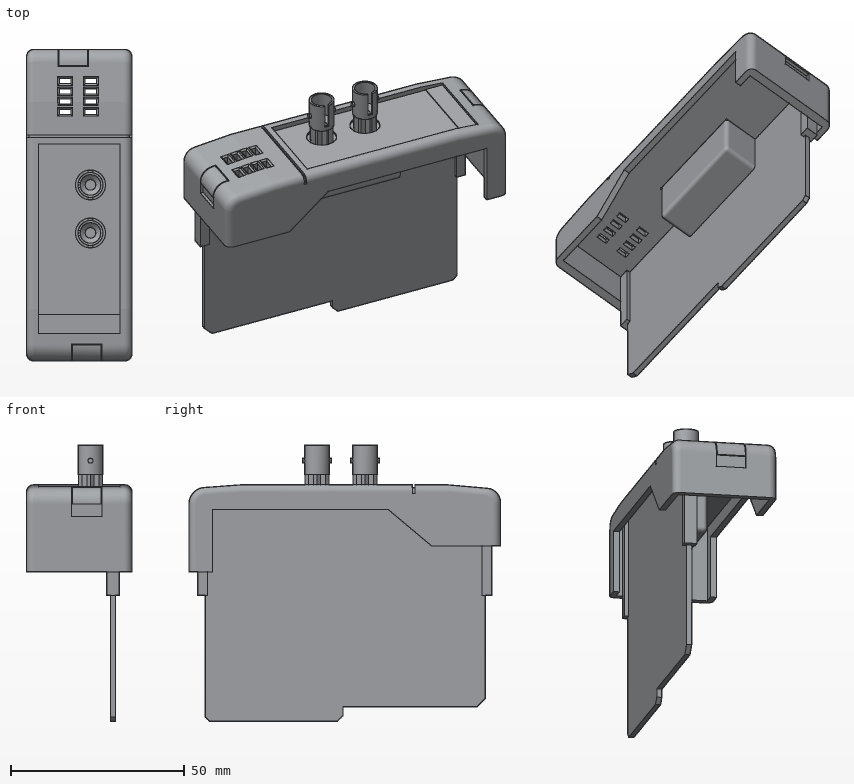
import cadquery as cq
import math

CASE_WIDTH = 30.5
CASE_LENGTH = 90.0
TOTAL_HEIGHT = 79.7
CUT_MARGIN = 4.5

CASE_TOP_Z = 68.3
CASE_BOTTOM_Z = 43.1
REAR_SLOPE = 5.0
FRONT_SLOPE = 4.2
REAR_FOLD_Y = 29.7
FRONT_FOLD_Y = -30.0
REAR_CORNER_RADIUS = 4.1
FRONT_CORNER_RADIUS = 4.8
SIDE_EDGE_RADIUS = 2.2

REAR_BOTTOM_Z = 50.7
WINDOW_TOP_Z = 61.1
WINDOW_FRONT_Y = -38.2
RAMP_TOP_Y = 12.6
RAMP_BOTTOM_Y = 25.0

SIDE_WALL = 1.8
CASE_INNER_LENGTH = 85.0
CEILING_Z = 65.1

POCKET_WIDTH = 23.6
POCKET_REAR_Y = 17.7
POCKET_FRONT_Y = -37.0
POCKET_FLOOR_Z = 66.9
POCKET_FLOOR_THICKNESS = 0.5
POCKET_STEP_Y = -31.6
POCKET_STEP_HEIGHT = 0.2

GROOVE_REAR_Y = 20.25
GROOVE_WIDTH = 0.7
GROOVE_DEPTH = 0.8
GROOVE_BOTTOM_Z = 65.8

LATCH_WIDTH = 8.8
LATCH_DEPTH = 0.9
LATCH_GAP = 0.3
LATCH_TAB_BOTTOM_Z = 62.7
LATCH_REACH = 4.95
LATCH_BOTTOM_Z = 59.1
REAR_LATCH_X = -1.7
FRONT_LATCH_X = 2.2

INDICATOR_COLUMNS = 2
INDICATOR_ROWS = 4
INDICATOR_X_PITCH = 7.4
INDICATOR_Y_PITCH = 3.0
INDICATOR_CENTER_X = -0.4
INDICATOR_CENTER_Y = 31.4
INDICATOR_WIDTH = 3.2
INDICATOR_LENGTH = 1.4
INDICATOR_MARGIN = 0.5
INDICATOR_FLARE_DEPTH = 0.45

CONNECTOR_X = 3.2
CONNECTOR_PITCH = 13.9
CONNECTOR_MIDDLE_Y = -1.1
BARREL_RADIUS = 3.6
BARREL_BOTTOM_Z = 71.2
BORE_RADIUS = 3.0
BORE_DEPTH = 7.2
BORE_FLOOR_RADIUS = 1.5
KEYWAY_WIDTH = 1.35
LUG_DIAMETER = 1.4
LUG_TIP_RADIUS = 4.1
LUG_DROP = 4.5
STAR_RADIUS = 3.5
STAR_SQUARES = 2
STEM_HOLE_RADIUS = 4.3

BOARD_REAR_Y = 40.6
BOARD_FRONT_Y = -40.3
BOARD_LEFT_X = 9.0
BOARD_THICKNESS = 1.5
NOTCH_Y = -0.45
NOTCH_HEIGHT = 4.1
REAR_CHAMFER = 2.4
NOTCH_CHAMFER = 1.7
FRONT_CHAMFER = 1.3
RAIL_LEFT_X = 7.9
RAIL_WIDTH = 3.7
RAIL_LENGTH = 2.9
RAIL_BOTTOM_Z = 36.4
BLOCK_REAR_Y = 12.7
BLOCK_FRONT_Y = -17.5
BLOCK_BOTTOM_Z = 48.4
BLOCK_LEFT_X = -1.7
BLOCK_EDGE_RADIUS = 1.2

CONNECTOR_YS = [CONNECTOR_MIDDLE_Y + side * CONNECTOR_PITCH / 2 for side in (1, -1)]


def box(x_min, x_max, y_min, y_max, z_min, z_max):
    """Box given by its limits along each axis."""
    size = (x_max - x_min, y_max - y_min, z_max - z_min)
    return cq.Workplane("XY").box(*size, centered=False).translate((x_min, y_min, z_min))


def cylinder(x, y, radius, z_min, z_max):
    """Upright cylinder."""
    return cq.Workplane("XY", origin=(x, y, z_min)).circle(radius).extrude(z_max - z_min)


def side_prism(outline, x_min, x_max):
    """Prism along X over an outline of (y, z) points."""
    return cq.Workplane("YZ", origin=(x_min, 0, 0)).polyline(outline).close().extrude(x_max - x_min)


def rounded_block(inset):
    """Solid case blank with rounded edges, every face moved inward by the inset."""
    half_length = CASE_LENGTH / 2
    half_width = CASE_WIDTH / 2 - inset
    rear_fall = math.tan(math.radians(REAR_SLOPE)) * (half_length - REAR_FOLD_Y)
    front_fall = math.tan(math.radians(FRONT_SLOPE)) * (half_length + FRONT_FOLD_Y)
    outline = [
        (half_length, CASE_BOTTOM_Z),
        (half_length, CASE_TOP_Z - rear_fall),
        (REAR_FOLD_Y, CASE_TOP_Z),
        (FRONT_FOLD_Y, CASE_TOP_Z),
        (-half_length, CASE_TOP_Z - front_fall),
        (-half_length, CASE_BOTTOM_Z),
    ]
    profile = cq.Workplane("YZ", origin=(-half_width, 0, 0)).polyline(outline).close()
    if inset > 0:
        profile = profile.offset2D(-inset, "intersection")
    block = profile.extrude(2 * half_width)
    block = block.faces(">Y").edges(">Z").fillet(REAR_CORNER_RADIUS - inset)
    block = block.faces("<Y").edges(">Z").fillet(FRONT_CORNER_RADIUS - inset)
    return block.faces("|X").edges("not(<Z)").fillet(SIDE_EDGE_RADIUS - inset)


def lower_cutaway():
    """Space removed below the rear end and between the ends of the side walls."""
    half_width = CASE_WIDTH / 2
    outer_y = CASE_LENGTH / 2 + CUT_MARGIN
    low_z = CASE_BOTTOM_Z - CUT_MARGIN
    outline = [
        (outer_y, low_z),
        (outer_y, REAR_BOTTOM_Z),
        (RAMP_BOTTOM_Y, REAR_BOTTOM_Z),
        (RAMP_TOP_Y, WINDOW_TOP_Z),
        (WINDOW_FRONT_Y, WINDOW_TOP_Z),
        (WINDOW_FRONT_Y, low_z),
    ]
    return side_prism(outline, -half_width, half_width)


def inner_cavity():
    """Open space inside the case."""
    half_width = CASE_WIDTH / 2 - SIDE_WALL
    half_length = CASE_INNER_LENGTH / 2
    return box(-half_width, half_width, -half_length, half_length, CASE_BOTTOM_Z, CEILING_Z)


def block_clearance():
    """Space above the connector block that leaves only a thin pocket floor around the stems."""
    top_z = POCKET_FLOOR_Z - POCKET_FLOOR_THICKNESS
    return box(BLOCK_LEFT_X, BOARD_LEFT_X, BLOCK_FRONT_Y, BLOCK_REAR_Y, CEILING_Z, top_z)


def label_pocket():
    """Pocket in the top, slightly shallower at its front end."""
    top_z = CASE_TOP_Z + CUT_MARGIN
    outline = [
        (POCKET_REAR_Y, top_z),
        (POCKET_REAR_Y, POCKET_FLOOR_Z),
        (POCKET_STEP_Y, POCKET_FLOOR_Z),
        (POCKET_STEP_Y, POCKET_FLOOR_Z + POCKET_STEP_HEIGHT),
        (POCKET_FRONT_Y, POCKET_FLOOR_Z + POCKET_STEP_HEIGHT),
        (POCKET_FRONT_Y, top_z),
    ]
    return side_prism(outline, -POCKET_WIDTH / 2, POCKET_WIDTH / 2)


def seam_groove():
    """Narrow groove of even depth that follows the top and both shoulders."""
    half_width = CASE_WIDTH / 2
    front_y = GROOVE_REAR_Y - GROOVE_WIDTH
    slab = box(-half_width, half_width, front_y, GROOVE_REAR_Y, GROOVE_BOTTOM_Z, CASE_TOP_Z)
    return slab.cut(rounded_block(GROOVE_DEPTH))


def end_patch(end, center_x, width, reach, bottom_z):
    """Box over one end corner of the case; end is 1 for rear, -1 for front."""
    end_y = CASE_LENGTH / 2
    y_min, y_max = sorted((end * (end_y - reach), end * end_y))
    return box(center_x - width / 2, center_x + width / 2, y_min, y_max, bottom_z, CASE_TOP_Z)


def latch_recess(end, center_x):
    """Gap around a latch tab and the notch below it, both of one depth below the surface."""
    recess = end_patch(end, center_x, LATCH_WIDTH, LATCH_REACH, LATCH_BOTTOM_Z)
    tab_width = LATCH_WIDTH - 2 * LATCH_GAP
    tab = end_patch(end, center_x, tab_width, LATCH_REACH - LATCH_GAP, LATCH_TAB_BOTTOM_Z)
    return recess.cut(rounded_block(LATCH_DEPTH)).cut(tab)


def indicator_window(x, y):
    """Rectangular window through the top, flared towards the outer surface."""
    slope_drop = max(0, y - REAR_FOLD_Y) * math.tan(math.radians(REAR_SLOPE))
    plane = cq.Plane(origin=(x, y, CASE_TOP_Z - slope_drop))
    if y > REAR_FOLD_Y:
        plane = plane.rotated((-REAR_SLOPE, 0, 0))
    mouth = (
        cq.Workplane(plane)
        .rect(INDICATOR_WIDTH + 2 * INDICATOR_MARGIN, INDICATOR_LENGTH + 2 * INDICATOR_MARGIN)
        .workplane(offset=-INDICATOR_FLARE_DEPTH)
        .rect(INDICATOR_WIDTH, INDICATOR_LENGTH)
        .loft(ruled=True)
    )
    x_min = x - INDICATOR_WIDTH / 2
    y_min = y - INDICATOR_LENGTH / 2
    x_max = x_min + INDICATOR_WIDTH
    y_max = y_min + INDICATOR_LENGTH
    shaft = box(x_min, x_max, y_min, y_max, CEILING_Z - CUT_MARGIN, CASE_TOP_Z)
    return mouth.union(shaft)


def case():
    """Hollow case with its pocket, groove, recesses and openings."""
    body = rounded_block(0)
    body = body.cut(inner_cavity()).cut(lower_cutaway())
    body = body.cut(label_pocket()).cut(seam_groove()).cut(block_clearance())
    body = body.cut(latch_recess(1, REAR_LATCH_X)).cut(latch_recess(-1, FRONT_LATCH_X))
    for column in range(INDICATOR_COLUMNS):
        x = INDICATOR_CENTER_X + (column - (INDICATOR_COLUMNS - 1) / 2) * INDICATOR_X_PITCH
        for row in range(INDICATOR_ROWS):
            y = INDICATOR_CENTER_Y + (row - (INDICATOR_ROWS - 1) / 2) * INDICATOR_Y_PITCH
            body = body.cut(indicator_window(x, y))
    for y in CONNECTOR_YS:
        body = body.cut(cylinder(CONNECTOR_X, y, STEM_HOLE_RADIUS, CEILING_Z, CASE_TOP_Z))
    return body


def star_stem(y):
    """Eight-pointed stem made of two crossed squares."""
    side = STAR_RADIUS * math.sqrt(2)
    height = BARREL_BOTTOM_Z - CEILING_Z
    stem = cq.Workplane("XY")
    for index in range(STAR_SQUARES):
        square = cq.Workplane("XY").rect(side, side).extrude(height)
        turn = index * 90 / STAR_SQUARES
        stem = stem.union(square.rotate((0, 0, 0), (0, 0, 1), turn))
    return stem.translate((CONNECTOR_X, y, CEILING_Z))


def connector(y):
    """Bayonet connector: star stem on the block and a bored barrel with two lugs."""
    bore_z = TOTAL_HEIGHT - BORE_DEPTH
    cone_depth = BORE_RADIUS - BORE_FLOOR_RADIUS
    barrel = cylinder(CONNECTOR_X, y, BARREL_RADIUS, BARREL_BOTTOM_Z, TOTAL_HEIGHT)
    lugs = (
        cq.Workplane("XZ", origin=(CONNECTOR_X, y + LUG_TIP_RADIUS, TOTAL_HEIGHT - LUG_DROP))
        .circle(LUG_DIAMETER / 2)
        .extrude(2 * LUG_TIP_RADIUS)
    )
    bore = cylinder(CONNECTOR_X, y, BORE_RADIUS, bore_z, TOTAL_HEIGHT)
    bore_cone = (
        cq.Workplane("XY", origin=(CONNECTOR_X, y, bore_z))
        .circle(BORE_RADIUS)
        .workplane(offset=-cone_depth)
        .circle(BORE_FLOOR_RADIUS)
        .loft()
    )
    half_key = KEYWAY_WIDTH / 2
    barrel_left_x = CONNECTOR_X - BARREL_RADIUS
    keyway = box(barrel_left_x, CONNECTOR_X, y - half_key, y + half_key, bore_z, TOTAL_HEIGHT)
    body = star_stem(y).union(barrel).union(lugs)
    return body.cut(bore).cut(bore_cone).cut(keyway)


def board_plate():
    """Thin board with a stepped, chamfered lower edge."""
    outline = [
        (BOARD_REAR_Y, CEILING_Z),
        (BOARD_REAR_Y, NOTCH_HEIGHT + REAR_CHAMFER),
        (BOARD_REAR_Y - REAR_CHAMFER, NOTCH_HEIGHT),
        (NOTCH_Y, NOTCH_HEIGHT),
        (NOTCH_Y, NOTCH_CHAMFER),
        (NOTCH_Y - NOTCH_CHAMFER, 0),
        (BOARD_FRONT_Y + FRONT_CHAMFER, 0),
        (BOARD_FRONT_Y, FRONT_CHAMFER),
        (BOARD_FRONT_Y, CEILING_Z),
    ]
    return side_prism(outline, BOARD_LEFT_X, BOARD_LEFT_X + BOARD_THICKNESS)


def end_rail(end):
    """Guide rail against the inner end wall of the case; end is 1 for rear, -1 for front."""
    outer_y = CASE_INNER_LENGTH / 2
    y_min, y_max = sorted((end * outer_y, end * (outer_y - RAIL_LENGTH)))
    return box(RAIL_LEFT_X, RAIL_LEFT_X + RAIL_WIDTH, y_min, y_max, RAIL_BOTTOM_Z, CEILING_Z)


def connector_block():
    """Block on the board that carries both connectors."""
    block = box(BLOCK_LEFT_X, BOARD_LEFT_X, BLOCK_FRONT_Y, BLOCK_REAR_Y, BLOCK_BOTTOM_Z, CEILING_Z)
    block = block.faces("<X").edges("|Z").fillet(BLOCK_EDGE_RADIUS)
    return block.faces("<Z").edges("not >X").fillet(BLOCK_EDGE_RADIUS)


def board():
    """Board plate with its rails and connector block."""
    return board_plate().union(end_rail(1)).union(end_rail(-1)).union(connector_block())


connectors = [connector(y).val() for y in CONNECTOR_YS]
result = cq.Compound.makeCompound([case().val(), board().val(), *connectors])